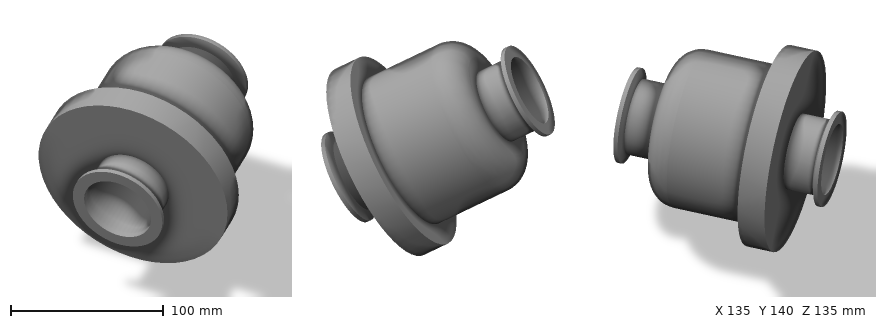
import cadquery as cq

total_length = 140.0
front_port_length = 25.2
back_port_length = 25.5

flange_diameter = 135.0
flange_thickness = 18.5

body_diameter = 106.0
shoulder_radius = 17.8

bore_diameter = 47.7
tube_diameter = 50.8
ferrule_diameter = 64.0
ferrule_rim = 3.0
ferrule_taper = 2.5

front_end = -total_length / 2
back_end = total_length / 2
flange_front = front_end + front_port_length
body_back = back_end - back_port_length


def cylinder(diameter, start, length):
    """Solid cylinder on the Y axis, running from start toward +Y."""
    plane = cq.Plane(origin=(0, start, 0), xDir=(1, 0, 0), normal=(0, 1, 0))
    return cq.Workplane(plane).circle(diameter / 2).extrude(length)


def clamp_port(end, length, inward):
    """Tube with a tapered clamp ferrule; inward is the Y sign toward the body."""
    rim_inner = end + inward * ferrule_rim
    taper_inner = rim_inner + inward * ferrule_taper
    tube_root = end + inward * length
    profile = [
        (0, end),
        (ferrule_diameter / 2, end),
        (ferrule_diameter / 2, rim_inner),
        (tube_diameter / 2, taper_inner),
        (tube_diameter / 2, tube_root),
        (0, tube_root),
    ]
    return cq.Workplane("XY").polyline(profile).close().revolve(360, (0, 0, 0), (0, 1, 0))


flange = cylinder(flange_diameter, flange_front, flange_thickness)

body = cylinder(body_diameter, flange_front, body_back - flange_front)
body = body.faces(">Y").edges().fillet(shoulder_radius)

front_port = clamp_port(front_end, front_port_length, 1)
back_port = clamp_port(back_end, back_port_length, -1)
housing = flange.union(body).union(front_port).union(back_port)

result = housing.cut(cylinder(bore_diameter, front_end, total_length))